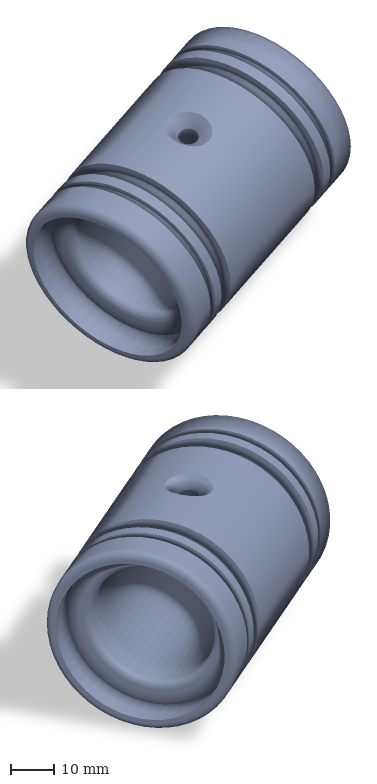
import cadquery as cq

length = 67.75
outer_diameter = 46.95
bore_diameter = 30.0
edge_radius = 1.75

recess_diameter = 41.3
recess_depth = 7.5

narrow_groove_offset = 7.85
narrow_groove_width = 1.95
narrow_groove_diameter = 44.4
wide_groove_offset = 12.45
wide_groove_width = 3.85
wide_groove_diameter = 42.15

port_diameter = 4.75
port_mouth_depth = 2.9
port_mouth_width = 13.55
port_mouth_length = 9.95


def cylinder(diameter, start, height):
    """Cylinder about Y, running from y = start towards +Y."""
    plane = cq.Workplane("XZ", origin=(0, start, 0))
    return plane.circle(diameter / 2).extrude(-height)


def groove(floor_diameter, offset, width):
    """Ring of material to remove near the -Y end."""
    start = -length / 2 + offset
    return cylinder(2 * outer_diameter, start, width).cut(cylinder(floor_diameter, start, width))


def both_ends(body, cutter):
    """Cut the same shape at the -Y end and mirrored at the +Y end."""
    return body.cut(cutter).cut(cutter.mirror("XZ"))


barrel = cylinder(outer_diameter, -length / 2, length).edges("%CIRCLE").fillet(edge_radius)

port = cq.Workplane("XY").circle(port_diameter / 2).extrude(outer_diameter / 2)
port_mouth = (
    cq.Workplane("XY", origin=(0, 0, outer_diameter / 2 - port_mouth_depth))
    .circle(port_diameter / 2)
    .workplane(offset=port_mouth_depth)
    .ellipse(port_mouth_width / 2, port_mouth_length / 2)
    .loft(ruled=True)
)
barrel = barrel.cut(port).cut(port_mouth)

bore_length = length - 2 * recess_depth
bore = cylinder(bore_diameter, -bore_length / 2, bore_length)
mouth_diameter = bore_diameter + 2 * edge_radius
rim_torus = cq.Solid.makeTorus(
    mouth_diameter / 2,
    edge_radius,
    cq.Vector(0, -bore_length / 2 + edge_radius, 0),
    cq.Vector(0, 1, 0),
)
mouth_flare = cylinder(mouth_diameter, -bore_length / 2, edge_radius).cut(cq.Workplane(rim_torus))

result = barrel.cut(bore)
result = both_ends(result, mouth_flare)
result = both_ends(result, cylinder(recess_diameter, -length / 2, recess_depth))
result = both_ends(result, groove(narrow_groove_diameter, narrow_groove_offset, narrow_groove_width))
result = both_ends(result, groove(wide_groove_diameter, wide_groove_offset, wide_groove_width))